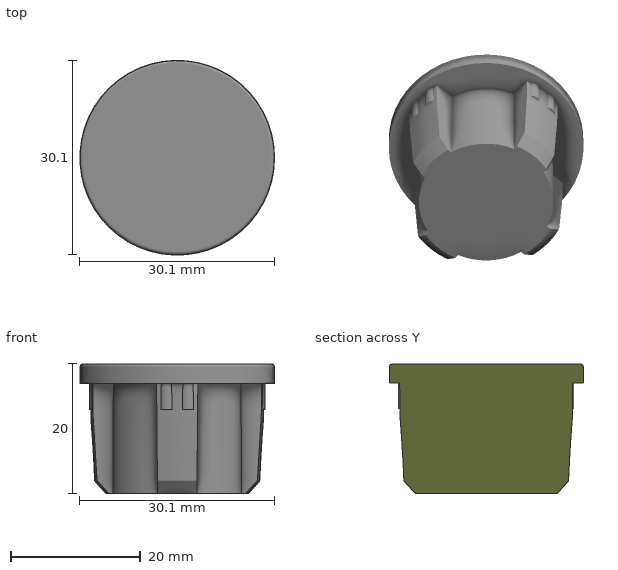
import cadquery as cq

cap_diameter = 30.05
cap_thickness = 3.0
cap_edge_radius = 0.5
overall_height = 20.0
cap_underside = overall_height - cap_thickness

core_radius = 10.37

rib_count = 4
rib_half_width_bottom = 3.05
rib_half_width_top = 3.2
rib_top_radius = 13.4
rib_upper_radius = 13.35
rib_lower_radius = 12.75
rib_tip_radius = 11.0
rib_taper_start = 11.8
rib_chamfer_height = 1.95
rib_chamfer_blend_radius = 0.3

ridge_radius = 1.32
ridge_offset = 1.53
ridge_crest = 13.55
ridge_length = 4.0


def make_cap():
    disc = (
        cq.Workplane("XY")
        .workplane(offset=cap_underside)
        .circle(cap_diameter / 2)
        .extrude(cap_thickness)
    )
    return disc.faces(">Z").edges().fillet(cap_edge_radius)


def make_rib_envelope():
    """Solid of revolution: chamfered tip, tapered flank and slightly drafted upper band."""
    turned = (
        cq.Workplane("XZ")
        .lineTo(rib_tip_radius, 0)
        .lineTo(rib_lower_radius, rib_chamfer_height)
        .lineTo(rib_upper_radius, rib_taper_start)
        .lineTo(rib_top_radius, cap_underside)
        .lineTo(0, cap_underside)
        .close()
        .revolve(360, (0, 0, 0), (0, 1, 0))
    )
    chamfer_top = cq.selectors.BoxSelector(
        (-cap_diameter, -cap_diameter, rib_chamfer_height / 2),
        (cap_diameter, cap_diameter, rib_chamfer_height * 2),
        boundingbox=True,
    )
    return turned.edges(chamfer_top).fillet(rib_chamfer_blend_radius)


def make_rib(envelope):
    """One rib on the +Y side, with slightly drafted flanks and two crush ridges."""
    bar = (
        cq.Workplane("XZ")
        .polyline([
            (-rib_half_width_bottom, 0),
            (rib_half_width_bottom, 0),
            (rib_half_width_top, cap_underside),
            (-rib_half_width_top, cap_underside),
        ])
        .close()
        .extrude(-cap_diameter / 2)
    )
    ridge_axis = ridge_crest - ridge_radius
    ridges = (
        cq.Workplane("XY")
        .workplane(offset=cap_underside - ridge_length)
        .pushPoints([(-ridge_offset, ridge_axis), (ridge_offset, ridge_axis)])
        .circle(ridge_radius)
        .extrude(ridge_length)
    )
    return bar.intersect(envelope).union(ridges)


core = cq.Workplane("XY").circle(core_radius).extrude(cap_underside)
result = make_cap().union(core)

rib = make_rib(make_rib_envelope())
for index in range(rib_count):
    result = result.union(rib.rotate((0, 0, 0), (0, 0, 1), index * 360 / rib_count))